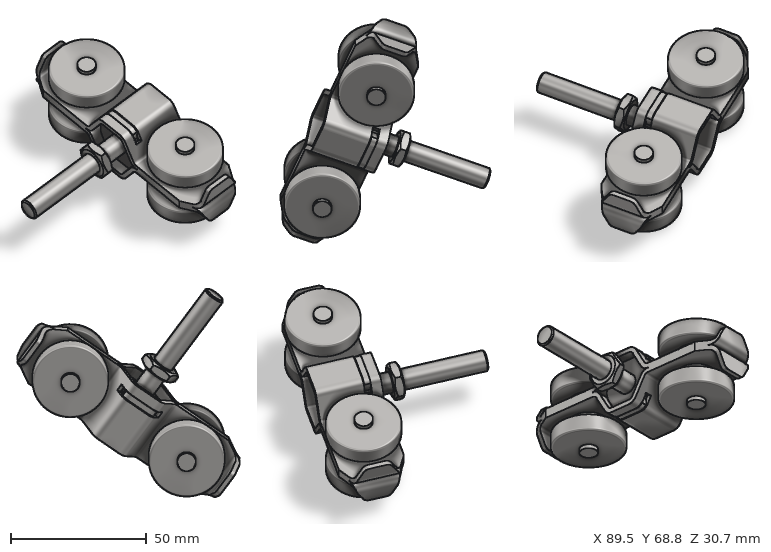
import cadquery as cq
import math

overall_depth = 68.8

length = 89.5
sheet = 2.0
bend_inner = sheet
bend_outer = bend_inner + sheet
bracket_width = 25.0
tube_height = 24.35
tube_flat_half = 4.2
slope_angle = 60.0
taper_angle = 30.0
taper_start_x = 36.35
neutral_depth = 0.25
tab_height = 9.0
tab_corner_radius = 2.5

wheel_spacing = 52.6
wheel_diameter = 28.0
wheel_thickness = 6.9
wheel_inner_z = 6.8
wheel_edge_radius = 1.0
hub_diameter = 14.0
pin_diameter = 6.9
pin_length = 30.7

slot_offset = 4.0
slot_width = 2.7
slot_reach = 3.2
plate_thickness = 2.4
plate_diameter = 20.0
plate_lug_half = 7.0
plate_top_gap = 0.1
plate_corner_x = 3.9

rod_diameter = 8.0
rod_head_diameter = 16.0
rod_head_height = 4.0
rod_chamfer = 0.5
nut_start_y = -18.0
nut_thickness = 4.0
nut_sides = 6
nut_across_flats = 13.0
nut_face_diameter = 11.6
nut_chamfer_angle = 30.0

slope = math.radians(slope_angle)
taper = math.radians(taper_angle)
half_length = length / 2
half_width = bracket_width / 2
tube_top = tube_height / 2
slot_front_y = -half_width + slot_offset
plate_back_y = slot_front_y + plate_thickness
rod_end_y = wheel_diameter / 2 - overall_depth

top_center = (tube_flat_half, tube_top - bend_outer)
foot_center_z = bend_outer
slope_normal = (math.sin(slope), math.cos(slope))
foot_center_x = top_center[0] + (
    bend_inner + bend_outer - (foot_center_z - top_center[1]) * slope_normal[1]
) / slope_normal[0]
foot_center = (foot_center_x, foot_center_z)
end_center = (half_length - bend_outer, bend_outer)

bend_start_half = half_width - (end_center[0] - taper_start_x) * math.tan(taper)
bend_flat_length = (bend_inner + neutral_depth * sheet) * math.pi / 2
bend_end_half = bend_start_half - bend_flat_length * math.tan(taper)


def on_arc(center, radius, degrees):
    """Point on a bend, with the angle measured from +X toward +Z."""
    angle = math.radians(degrees)
    return (center[0] + radius * math.cos(angle), center[1] + radius * math.sin(angle))


def extrude_y(profile, y_start, y_end):
    """Extrude a closed X-Z profile between two Y positions."""
    return profile.extrude(y_start - y_end).translate((0, y_start, 0))


def half_bracket_sheet():
    """The upper sheet for X >= 0: tube roof, sloped wall, flange and upturned end."""
    wall = 90 - slope_angle
    foot_start = 180 + wall
    foot_end = 270
    foot_middle = (foot_start + foot_end) / 2
    profile = (
        cq.Workplane("XZ")
        .moveTo(0, tube_top)
        .lineTo(tube_flat_half, tube_top)
        .threePointArc(
            on_arc(top_center, bend_outer, (90 + wall) / 2),
            on_arc(top_center, bend_outer, wall),
        )
        .lineTo(*on_arc(foot_center, bend_inner, foot_start))
        .threePointArc(
            on_arc(foot_center, bend_inner, foot_middle),
            on_arc(foot_center, bend_inner, foot_end),
        )
        .lineTo(end_center[0], sheet)
        .threePointArc(on_arc(end_center, bend_inner, -45), on_arc(end_center, bend_inner, 0))
        .lineTo(half_length - sheet, tab_height)
        .lineTo(half_length, tab_height)
        .lineTo(half_length, end_center[1])
        .threePointArc(on_arc(end_center, bend_outer, -45), on_arc(end_center, bend_outer, -90))
        .lineTo(foot_center[0], 0)
        .threePointArc(
            on_arc(foot_center, bend_outer, foot_middle),
            on_arc(foot_center, bend_outer, foot_start),
        )
        .lineTo(*on_arc(top_center, bend_inner, wall))
        .threePointArc(
            on_arc(top_center, bend_inner, (90 + wall) / 2),
            on_arc(top_center, bend_inner, 90),
        )
        .lineTo(0, tube_top - sheet)
        .close()
    )
    return extrude_y(profile, half_width, -half_width)


def tapered_flange():
    """Space kept by the flange: full width, then narrowing to the end bend."""
    profile = (
        cq.Workplane("XY")
        .polyline([
            (0, -half_width),
            (taper_start_x, -half_width),
            (end_center[0], -bend_start_half),
            (end_center[0], bend_start_half),
            (taper_start_x, half_width),
            (0, half_width),
        ])
        .close()
    )
    return profile.extrude(tube_top)


def tapered_bend():
    """Space kept by the end bend: its sides wind inward steadily as the sheet turns up."""
    span = (bend_outer, 2 * bend_end_half, bend_outer)
    middle = cq.Workplane("XY").box(*span, centered=(False, True, False))
    side = (
        cq.Workplane("XZ")
        .rect(2 * bend_outer, -2 * bend_outer, centered=False)
        .twistExtrude(bend_start_half - bend_end_half, -90)
        .translate((0, -bend_end_half, bend_outer))
    )
    bounds = cq.Workplane("XY").box(
        bend_outer, bracket_width, bend_outer, centered=(False, True, False)
    )
    side = side.intersect(bounds)
    return middle.union(side).union(side.mirror("XZ")).translate((end_center[0], 0, 0))


def tapered_tab():
    """Space kept by the upturned tab: narrowing upward to two rounded corners."""
    tip_half = bend_end_half - (tab_height - end_center[1]) * math.tan(taper)
    return (
        cq.Workplane("YZ")
        .workplane(offset=end_center[0])
        .polyline([
            (-bend_end_half, end_center[1]),
            (-tip_half, tab_height),
            (tip_half, tab_height),
            (bend_end_half, end_center[1]),
        ])
        .close()
        .extrude(bend_outer)
        .edges("|X and >Z")
        .fillet(tab_corner_radius)
    )


def slot_cutter():
    """Slot across the tube roof, reaching part way down both sloped walls."""
    wall_top = on_arc(top_center, bend_outer, 90 - slope_angle)
    floor_outer = (
        wall_top[0] + slot_reach * math.cos(slope),
        wall_top[1] - slot_reach * math.sin(slope),
    )
    margin = sheet / 4
    outward = (
        floor_outer[0] + margin * slope_normal[0],
        floor_outer[1] + margin * slope_normal[1],
    )
    inward = (
        floor_outer[0] - (sheet + margin) * slope_normal[0],
        floor_outer[1] - (sheet + margin) * slope_normal[1],
    )
    profile = (
        cq.Workplane("XZ")
        .polyline([
            (-inward[0], inward[1]),
            inward,
            outward,
            (outward[0], tube_height),
            (-outward[0], tube_height),
            (-outward[0], outward[1]),
        ])
        .close()
    )
    return extrude_y(profile, slot_front_y + slot_width, slot_front_y)


def bracket():
    """Both pressed sheets, mirrored about the middle of the part and slotted."""
    pressed = half_bracket_sheet()
    quarter = pressed.intersect(tapered_flange())
    for kept_space in (tapered_bend(), tapered_tab()):
        quarter = quarter.union(pressed.intersect(kept_space))
    upper = quarter.union(quarter.mirror("YZ")).cut(slot_cutter())
    return upper.union(upper.mirror("XY"))


def retaining_plate():
    """Round plate with a rounded lug through the slot above and below."""
    lug_top = tube_top - plate_top_gap
    corner = (plate_corner_x, lug_top - bend_outer)
    side_angle = math.degrees(math.acos((plate_lug_half - corner[0]) / bend_outer))
    side = on_arc(corner, bend_outer, side_angle)
    middle = on_arc(corner, bend_outer, (90 + side_angle) / 2)
    lugs = (
        cq.Workplane("XZ")
        .moveTo(-plate_corner_x, lug_top)
        .lineTo(plate_corner_x, lug_top)
        .threePointArc(middle, side)
        .lineTo(side[0], -side[1])
        .threePointArc((middle[0], -middle[1]), (plate_corner_x, -lug_top))
        .lineTo(-plate_corner_x, -lug_top)
        .threePointArc((-middle[0], -middle[1]), (-side[0], -side[1]))
        .lineTo(-side[0], side[1])
        .threePointArc((-middle[0], middle[1]), (-plate_corner_x, lug_top))
        .close()
    )
    disc = cq.Workplane("XZ").circle(plate_diameter / 2)
    return extrude_y(lugs, plate_back_y, slot_front_y).union(
        extrude_y(disc, plate_back_y, slot_front_y)
    )


def rod():
    """Rod with a chamfered end and a round head bearing on the back of the plate."""
    shank = extrude_y(cq.Workplane("XZ").circle(rod_diameter / 2), plate_back_y, rod_end_y)
    head = extrude_y(
        cq.Workplane("XZ").circle(rod_head_diameter / 2),
        plate_back_y + rod_head_height,
        plate_back_y,
    )
    return shank.faces("<Y").chamfer(rod_chamfer).union(head)


def lock_nut():
    """Hexagon nut with its corners chamfered by a cone on both faces."""
    across_corners = nut_across_flats / math.cos(math.pi / nut_sides)
    nut_end_y = nut_start_y - nut_thickness
    hexagon = cq.Workplane("XZ").polygon(nut_sides, across_corners)
    corner_radius = across_corners / 2
    face_radius = nut_face_diameter / 2
    chamfer_depth = (corner_radius - face_radius) * math.tan(math.radians(nut_chamfer_angle))
    envelope = (
        cq.Workplane("XY")
        .polyline([
            (0, nut_start_y),
            (face_radius, nut_start_y),
            (corner_radius, nut_start_y - chamfer_depth),
            (corner_radius, nut_end_y + chamfer_depth),
            (face_radius, nut_end_y),
            (0, nut_end_y),
        ])
        .close()
        .revolve(360, (0, 0, 0), (0, 1, 0))
    )
    return extrude_y(hexagon, nut_start_y, nut_end_y).intersect(envelope)


def wheel_set():
    """Axle pin, hub and the wheels above and below the flange, centred on Z."""
    axle = cq.Workplane("XY").circle(pin_diameter / 2).extrude(pin_length / 2, both=True)
    hub = cq.Workplane("XY").circle(hub_diameter / 2).extrude(wheel_inner_z, both=True)
    wheel = (
        cq.Workplane("XY")
        .workplane(offset=wheel_inner_z)
        .circle(wheel_diameter / 2)
        .extrude(wheel_thickness)
        .edges()
        .fillet(wheel_edge_radius)
    )
    return axle.union(hub).union(wheel).union(wheel.mirror("XY"))


assembled = bracket().union(retaining_plate()).union(rod()).union(lock_nut())
for wheel_x in (-wheel_spacing / 2, wheel_spacing / 2):
    assembled = assembled.union(wheel_set().translate((wheel_x, 0, 0)))
result = cq.Workplane(assembled.solids().val())